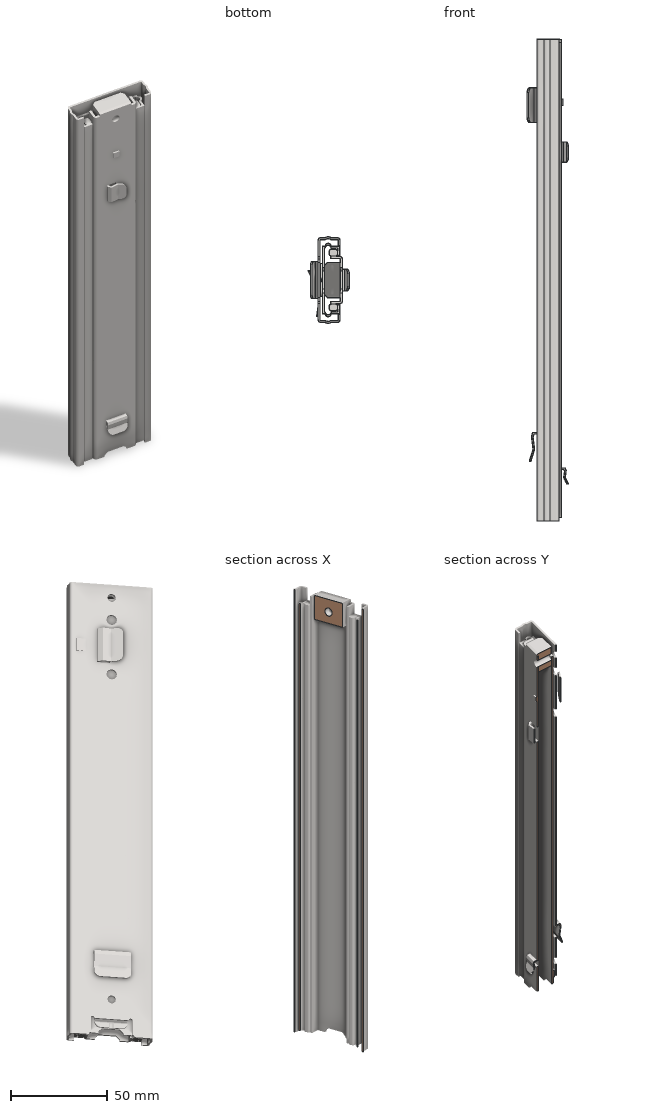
import cadquery as cq

length = 250.0
sheet = 1.1
lower_end = 1.8
inner_top = length - lower_end

outer_half_width = 22.0
outer_depth = 11.5
outer_lip_end = 17.8
corner_radius = 1.5
bead_height = 0.49
bead_start = 3.75
bead_end = 6.8

middle_back = 2.3
middle_half_width = 17.6
middle_front = 11.3
middle_lip_end = 12.7
middle_bead_height = 1.5
middle_top = 243.0

inner_front = 12.8
inner_half_width = 12.4
inner_sheet = 1.3
inner_back = 6.5
inner_corner_radius = 1.8

screw_diameter = 4.3
screw_heights = (20.0, 242.7)
upper_screw = screw_heights[1:]
round_hole_diameter = 5.4
round_hole_heights = (200.3, 230.5)
notch_half_width = 11.0
notch_height = 9.1
notch_mouth = 1.1
relief_radius = 1.0
arch_half_width = 6.6
arch_height = 2.7
arch_corner = 1.9
tab_bottom = 212.2
tab_height = 6.8
outer_tab_start = 13.4
outer_tab_end = 18.8
inner_tab_bottom = 215.5
inner_tab_size = 3.5
tab_rise = 0.75

stop_back = middle_back + sheet
stop_half_width = 9.2
stop_height = 12.0
stop_chamfer = 1.6
stop_cap_drop = 0.4

latch_sheet = 1.0
latch_half_width = 8.6
latch_bottom = 4.8
latch_top = 14.0
latch_corner_radius = 3.0
latch_crease_height = 8.3
latch_crease_size = 0.9
latch_groove_radius = 1.6
latch_groove_depth = 0.6

retainer_width = 4.4
retainer_thickness = 3.6
retainer_radius = 1.2

clip_sheet = 0.9
clip_tip_radius = 3.0
left_clip_tip = 5.2
right_clip_tip = 3.57


def beaded_side(path, side, start_first, bead):
    """Extend the path along one side wall, raising the wall into a round bead."""
    middle = ((bead_start + bead_end) / 2, side + bead)
    ends = [(bead_start, side), (bead_end, side)]
    if not start_first:
        ends.reverse()
    return path.lineTo(*ends[0]).threePointArc(middle, ends[1])


def channel(back, front, half_width, lip_end, bead, bottom, top):
    """C-shaped channel open toward +X, its side walls beaded outward, with inward lips."""
    inside = half_width - sheet
    path = cq.Workplane("XY").workplane(offset=bottom).moveTo(back, -half_width).lineTo(back, half_width)
    path = beaded_side(path, half_width, True, bead)
    path = path.lineTo(front, half_width).lineTo(front, lip_end)
    path = path.lineTo(front - sheet, lip_end).lineTo(front - sheet, inside)
    path = beaded_side(path, inside, False, bead)
    path = path.lineTo(back + sheet, inside).lineTo(back + sheet, -inside)
    path = beaded_side(path, -inside, True, -bead)
    path = path.lineTo(front - sheet, -inside).lineTo(front - sheet, -lip_end)
    path = path.lineTo(front, -lip_end).lineTo(front, -half_width)
    path = beaded_side(path, -half_width, False, -bead)
    return path.close().extrude(top - bottom)


def round_corners(body, places, radius):
    """Round the Z edges that lie at the given (x, y) places."""
    reach = 0.05
    for x, y in places:
        low = (x - reach, y - reach, -reach)
        high = (x + reach, y + reach, length + reach)
        body = body.edges(cq.selectors.BoxSelector(low, high)).edges("|Z").fillet(radius)
    return body


def clip(root, along, outward, width, shoulder, run, rise, dip, bend, reach, tip):
    """Strip that leaves the web at root, dips at bend and flares out to its tip, and its window."""
    along = cq.Vector(*along)
    outward = cq.Vector(*outward)
    plane = cq.Plane(origin=root, xDir=along, normal=along.cross(outward))
    outline = [
        (0, -sheet), (0, shoulder), (run, rise), (bend, dip), (reach, tip),
        (reach, tip - clip_sheet), (bend, dip - clip_sheet), (run, rise - clip_sheet),
        (clip_sheet, shoulder - clip_sheet), (clip_sheet, -sheet),
    ]
    strip = cq.Workplane(plane).polyline(outline).close().extrude(width / 2, both=True)
    web_plane = cq.Plane(origin=root, xDir=along, normal=outward)
    rounded_plan = (
        cq.Workplane(web_plane)
        .center(reach / 2, 0).rect(reach, width).extrude(tip + sheet, both=True)
        .faces(cq.selectors.DirectionMinMaxSelector(along))
        .edges(cq.selectors.ParallelDirSelector(outward)).fillet(clip_tip_radius)
    )
    window = (
        cq.Workplane(web_plane).workplane(offset=-sheet)
        .center(bend / 2, 0).rect(bend, width).extrude(sheet)
    )
    return strip.intersect(rounded_plan), window


def add_clip(body, **shape):
    """Open the window the strip is cut from, then join the strip at its edge."""
    strip, window = clip(**shape)
    return body.cut(window).union(strip)


def web_holes(diameter, heights, start, depth):
    """Cylinders along +X on the centre line at the given heights."""
    centers = [(0, z) for z in heights]
    return (
        cq.Workplane("YZ").workplane(offset=start)
        .pushPoints(centers).circle(diameter / 2).extrude(depth)
    )


def lower_notch():
    """Notch in the foot of the outer web: flared mouth and relieved upper corners."""
    notch = (
        cq.Workplane("YZ")
        .moveTo(-notch_half_width - notch_mouth, 0)
        .radiusArc((-notch_half_width, notch_mouth), notch_mouth)
        .lineTo(-notch_half_width, notch_height)
        .lineTo(notch_half_width, notch_height)
        .lineTo(notch_half_width, notch_mouth)
        .radiusArc((notch_half_width + notch_mouth, 0), notch_mouth)
        .close().extrude(sheet)
    )
    inset = notch_half_width - relief_radius
    reliefs = (
        cq.Workplane("YZ")
        .pushPoints([(-inset, notch_height), (inset, notch_height)])
        .circle(relief_radius).extrude(sheet)
    )
    return notch.union(reliefs)


def lower_arch():
    """Arched opening through the feet of the middle and inner channels."""
    return (
        cq.Workplane("YZ")
        .center(0, lower_end)
        .rect(2 * arch_half_width, 2 * arch_height).extrude(inner_front)
        .edges("|X").chamfer(arch_corner)
    )


def make_outer():
    body = channel(0, outer_depth, outer_half_width, outer_lip_end, bead_height, 0, length)
    corners = [(x, side * outer_half_width) for x in (0, outer_depth) for side in (-1, 1)]
    body = round_corners(body, corners, corner_radius)
    body = body.cut(web_holes(screw_diameter, screw_heights, 0, sheet))
    body = body.cut(web_holes(round_hole_diameter, round_hole_heights, 0, sheet))
    body = body.cut(lower_notch())
    tab = (
        cq.Workplane("XY").workplane(offset=tab_bottom)
        .polyline([(0, outer_tab_start), (-tab_rise, outer_tab_end), (0, outer_tab_end)])
        .close().extrude(tab_height)
    )
    body = body.union(tab)
    body = add_clip(
        body, root=(0, 7.8, 215.7), along=(0, -1, 0), outward=(-1, 0, 0), width=18.2,
        shoulder=1.0, run=2.6, rise=3.0, dip=2.4, bend=7.0, reach=12.8, tip=left_clip_tip,
    )
    return add_clip(
        body, root=(0, 0, 46.0), along=(0, 0, -1), outward=(-1, 0, 0), width=19.4,
        shoulder=2.3, run=2.3, rise=2.9, dip=2.1, bend=8.8, reach=15.0, tip=4.0,
    )


def make_middle():
    body = channel(
        middle_back, middle_front, middle_half_width, middle_lip_end,
        middle_bead_height, lower_end, middle_top,
    )
    return body.cut(lower_arch())


def make_inner():
    half = inner_half_width
    inside = half - inner_sheet
    body = (
        cq.Workplane("XY").workplane(offset=lower_end)
        .polyline([
            (inner_back, half), (inner_front, half), (inner_front, -half), (inner_back, -half),
            (inner_back, -inside), (inner_front - inner_sheet, -inside),
            (inner_front - inner_sheet, inside), (inner_back, inside),
        ])
        .close().extrude(inner_top - lower_end)
    )
    body = round_corners(body, [(inner_front, half), (inner_front, -half)], inner_corner_radius)
    body = body.cut(web_holes(screw_diameter, upper_screw, inner_front - inner_sheet, inner_sheet))
    body = body.cut(lower_arch())
    tab = (
        cq.Workplane("YZ").workplane(offset=inner_front)
        .center(0, inner_tab_bottom + inner_tab_size / 2)
        .rect(inner_tab_size, inner_tab_size).extrude(tab_rise)
    )
    body = body.union(tab)
    body = add_clip(
        body, root=(inner_front, -5.2, 191.4), along=(0, 1, 0), outward=(1, 0, 0), width=10.6,
        shoulder=1.0, run=1.6, rise=2.4, dip=1.9, bend=5.4, reach=9.6, tip=right_clip_tip,
    )
    return add_clip(
        body, root=(inner_front, 0, 27.6), along=(0, 0, -1), outward=(1, 0, 0), width=11.4,
        shoulder=1.9, run=1.5, rise=2.4, dip=1.9, bend=5.0, reach=8.4, tip=right_clip_tip,
    )


def make_stop():
    """Block filling the top of the inner channel, with a cap that lies over the end of the web."""
    web_face = inner_front - inner_sheet
    bottom = inner_top - stop_height
    block = (
        cq.Workplane("XZ")
        .polyline([
            (stop_back, bottom), (web_face, bottom), (web_face, inner_top), (inner_front, inner_top),
            (inner_front, length - stop_cap_drop), (web_face, length), (stop_back, length),
        ])
        .close().extrude(stop_half_width, both=True)
        .edges("|Z and <X").chamfer(stop_chamfer)
    )
    return block.cut(web_holes(screw_diameter, upper_screw, stop_back, web_face - stop_back))


def make_latch():
    """Plate on the back of the middle web, creased across and grooved at the centre of its foot."""
    back = middle_back - latch_sheet
    height = latch_top - latch_bottom
    plate = (
        cq.Workplane("YZ").workplane(offset=back)
        .center(0, latch_bottom + height / 2)
        .rect(2 * latch_half_width, height).extrude(latch_sheet)
        .edges("|X and <Z").fillet(latch_corner_radius)
    )
    crease = (
        cq.Workplane("XZ")
        .polyline([
            (back, latch_crease_height - latch_crease_size),
            (back + latch_crease_size, latch_crease_height),
            (back, latch_crease_height + latch_crease_size),
        ])
        .close().extrude(latch_half_width, both=True)
    )
    groove = (
        cq.Workplane("XY").workplane(offset=latch_bottom)
        .center(back + latch_groove_depth - latch_groove_radius, 0).circle(latch_groove_radius)
        .extrude(latch_crease_height - latch_bottom)
    )
    return plate.cut(crease).cut(groove)


def make_retainer(side):
    """Strip between the middle lip and the inner flange; side is +1 or -1 along Y."""
    center_x = middle_front - sheet - retainer_width / 2
    center_y = side * (inner_half_width + retainer_thickness / 2)
    return (
        cq.Workplane("XY").workplane(offset=lower_end)
        .center(center_x, center_y).rect(retainer_width, retainer_thickness)
        .extrude(middle_top - lower_end).edges("|Z").fillet(retainer_radius)
    )


outer_channel = make_outer()
middle_channel = make_middle()
inner_channel = make_inner()
stop_block = make_stop()
latch_plate = make_latch()
retainers = [make_retainer(side) for side in (-1, 1)]

result = cq.Compound.makeCompound([
    outer_channel.val(),
    middle_channel.val(),
    inner_channel.val(),
    stop_block.val(),
    latch_plate.val(),
    *[retainer.val() for retainer in retainers],
])